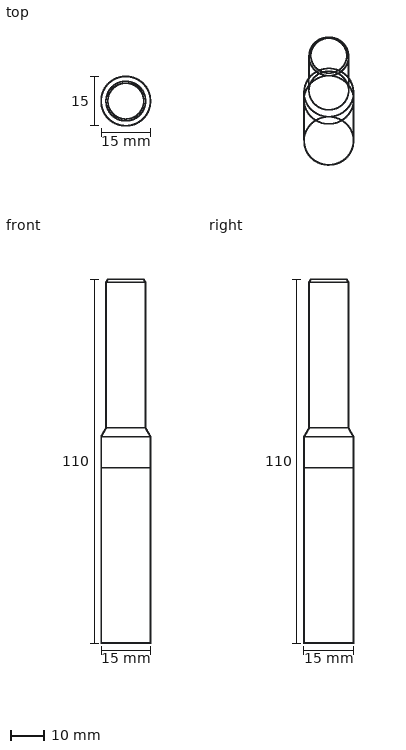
import cadquery as cq
import math

overall_length = 110.0
head_diameter = 15.0
head_length = 53.0
shank_diameter = 12.0
shank_start = 65.0
end_chamfer_length = 1.0
taper_angle = 30.0

head_radius = head_diameter / 2
shank_radius = shank_diameter / 2
taper_slope = math.tan(math.radians(taper_angle))
shoulder_start = shank_start - (head_radius - shank_radius) / taper_slope
shank_end_radius = shank_radius - end_chamfer_length * taper_slope


def make_head():
    """Plain cylinder at the lower end of the tool."""
    return cq.Workplane("XY").circle(head_radius).extrude(head_length)


def make_shank():
    """Collar as wide as the head, tapering to a slimmer shank with a chamfered end."""
    return (
        cq.Workplane("XZ")
        .moveTo(0, head_length)
        .lineTo(head_radius, head_length)
        .lineTo(head_radius, shoulder_start)
        .lineTo(shank_radius, shank_start)
        .lineTo(shank_radius, overall_length - end_chamfer_length)
        .lineTo(shank_end_radius, overall_length)
        .lineTo(0, overall_length)
        .close()
        .revolve(360, (0, 0), (0, 1))
    )


head = make_head()
shank = make_shank()

result = cq.Compound.makeCompound([head.val(), shank.val()])